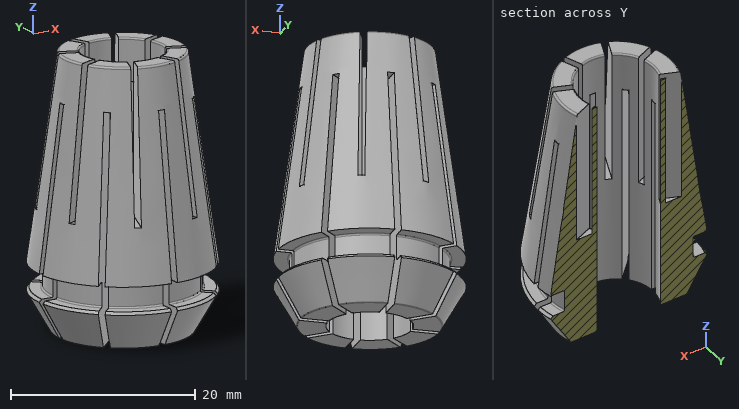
import cadquery as cq
import math

length = 31.5
max_radius = 21.0 / 2
bore_radius = 9.5 / 2

nose_top = 4.47
groove_bottom = 4.8
groove_top = 7.65

nose_angle = 30
body_angle = 8

groove_radius = 8.73
groove_fillet = 0.2
nose_edge_round = 0.13
top_edge_round = 0.25
bore_edge_round = 0.2

radius_tolerance = 0.003

slit_count = 8
slit_width = 0.75
lower_slit_end = 26.55
upper_slit_start = 14.05

nose_radius = max_radius - nose_top * math.tan(math.radians(nose_angle))
top_radius = max_radius - (length - groove_top) * math.tan(math.radians(body_angle))
flange_radius = max_radius - (groove_bottom - nose_top)


def is_groove_corner(edge):
    """True for the inner corner circles of the groove."""
    return math.isclose(edge.radius(), groove_radius, abs_tol=radius_tolerance)


def collet_body():
    """Tapered body with nose cone and groove, revolved about Z."""
    profile = [
        (0, 0),
        (nose_radius, 0),
        (max_radius, nose_top),
        (flange_radius, groove_bottom),
        (groove_radius, groove_bottom),
        (groove_radius, groove_top),
        (max_radius, groove_top),
        (top_radius, length),
        (0, length),
    ]
    body = cq.Workplane("XZ").polyline(profile).close().revolve(360, (0, 0, 0), (0, 1, 0))
    body = body.faces(">Z").edges().fillet(top_edge_round)
    body = body.faces("<Z").edges().fillet(nose_edge_round)
    return body.edges("%CIRCLE").filter(is_groove_corner).fillet(groove_fillet)


def bored(body):
    """Through bore with a rounded mouth at the small end."""
    bore = cq.Workplane("XY").circle(bore_radius).extrude(length)
    mouth = cq.selectors.RadiusNthSelector(0)
    return body.cut(bore).faces(">Z").edges(mouth).fillet(bore_edge_round)


def slits(bottom, top, first_angle):
    """Ring of radial slits between two heights, each pair made as one plate across the axis."""
    slit = (
        cq.Workplane("XY", origin=(0, 0, bottom))
        .rect(2 * max_radius + slit_width, slit_width)
        .extrude(top - bottom)
    )
    ring = cq.Workplane("XY")
    for index in range(slit_count // 2):
        ring = ring.add(slit.rotate((0, 0, 0), (0, 0, 1), first_angle + index * 360 / slit_count))
    return ring.combine()


lower_slits = slits(0, lower_slit_end, 0)
upper_slits = slits(upper_slit_start, length, 180 / slit_count)
result = bored(collet_body()).cut(lower_slits).cut(upper_slits)